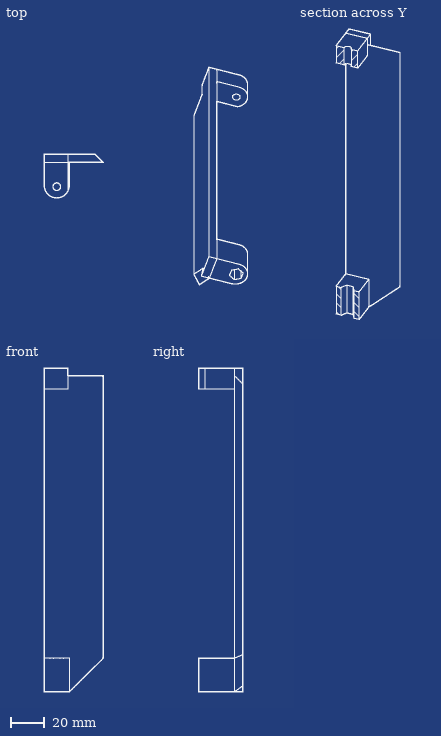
import cadquery as cq
import math

LENGTH = 191.2
PLATE_WIDTH = 35.0
PLATE_THICKNESS = 5.0
BEVEL = PLATE_THICKNESS
SHOULDER_DROP = 4.4
SHOULDER_Z = LENGTH - SHOULDER_DROP

LUG_TIP_Y = -26.0
LOWER_LUG_WIDTH = 15.0
UPPER_LUG_WIDTH = 14.0
LOWER_LUG_HEIGHT = 19.9
UPPER_LUG_HEIGHT = 12.5
LUG_RADIUS = LOWER_LUG_WIDTH / 2
ROUND_START_Y = LUG_TIP_Y + LUG_RADIUS

PIVOT_X = LUG_RADIUS
PIVOT_Y = -19.3
PIN_HOLE_DIAMETER = 4.4
HEX_ACROSS_FLATS = 7.0
HEX_ACROSS_CORNERS = HEX_ACROSS_FLATS / math.cos(math.pi / 6)


def edge_bevel(start, end):
    """Wedge along a free edge from start to end (X, Z), with the plate on the left of travel."""
    run_x = end[0] - start[0]
    run_z = end[1] - start[1]
    length = math.hypot(run_x, run_z)
    plane = cq.Plane(
        origin=(start[0], 0, start[1]),
        xDir=(-run_z, 0, run_x),
        normal=(run_x, 0, run_z),
    )
    wedge = [(BEVEL, 0), (0, 0), (0, BEVEL)]
    return cq.Workplane(plane).polyline(wedge).close().extrude(length)


def make_plate():
    diagonal_start = (LOWER_LUG_WIDTH, 0)
    diagonal_end = (PLATE_WIDTH, LOWER_LUG_HEIGHT)
    top_corner = (PLATE_WIDTH, SHOULDER_Z)
    shoulder = (UPPER_LUG_WIDTH, SHOULDER_Z)
    outline = [
        (0, 0),
        diagonal_start,
        diagonal_end,
        top_corner,
        shoulder,
        (UPPER_LUG_WIDTH, LENGTH),
        (0, LENGTH),
    ]
    plate = cq.Workplane("XZ").polyline(outline).close().extrude(PLATE_THICKNESS)
    free_corners = [diagonal_start, diagonal_end, top_corner, shoulder]
    for start, end in zip(free_corners, free_corners[1:]):
        plate = plate.cut(edge_bevel(start, end))
    return plate


def lug_blank(height, bottom):
    """Block that joins the front of the plate and ends in a half round."""
    return (
        cq.Workplane("XY", origin=(0, 0, bottom))
        .moveTo(0, -PLATE_THICKNESS)
        .lineTo(0, ROUND_START_Y)
        .threePointArc((LUG_RADIUS, LUG_TIP_Y), (LOWER_LUG_WIDTH, ROUND_START_Y))
        .lineTo(LOWER_LUG_WIDTH, -PLATE_THICKNESS)
        .close()
        .extrude(height)
    )


def make_lower_lug():
    """Full-width lug with a hexagonal through socket, two flats facing along Y."""
    socket = (
        cq.Workplane("XY", origin=(PIVOT_X, PIVOT_Y, 0))
        .polygon(6, HEX_ACROSS_CORNERS)
        .extrude(LOWER_LUG_HEIGHT)
    )
    return lug_blank(LOWER_LUG_HEIGHT, 0).cut(socket)


def make_upper_lug():
    """Lug trimmed flat on its +X side, with a round through hole for the pin."""
    bottom = LENGTH - UPPER_LUG_HEIGHT
    trim = cq.Workplane("XY", origin=(UPPER_LUG_WIDTH, LUG_TIP_Y, bottom)).box(
        LOWER_LUG_WIDTH - UPPER_LUG_WIDTH, -LUG_TIP_Y, UPPER_LUG_HEIGHT, centered=False
    )
    pin_hole = (
        cq.Workplane("XY", origin=(PIVOT_X, PIVOT_Y, bottom))
        .circle(PIN_HOLE_DIAMETER / 2)
        .extrude(UPPER_LUG_HEIGHT)
    )
    return lug_blank(UPPER_LUG_HEIGHT, bottom).cut(trim).cut(pin_hole)


plate = make_plate()
lower_lug = make_lower_lug()
upper_lug = make_upper_lug()

result = cq.Compound.makeCompound([plate.val(), lower_lug.val(), upper_lug.val()])